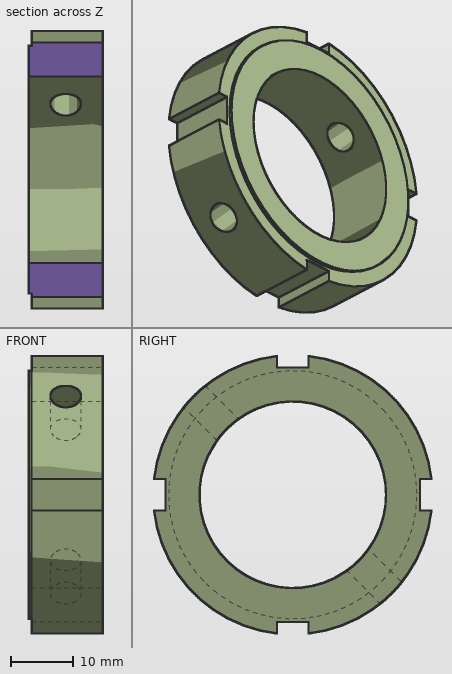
import cadquery as cq
import math

width = 12.0
lip_height = 0.5
lip_diameter = 40.0
bore_diameter = 30.0

span = 44.7
slot_width = 5.0
slot_floor_span = 41.0
slot_count = 4
outer_radius = math.hypot(span / 2, slot_width / 2)
slot_floor = slot_floor_span / 2

hole_diameter = 4.9
hole_x = width / 2
hole_angle = 45.0


def make_ring():
    """Ring body with the thin lip, before slots and holes."""
    body = cq.Workplane("YZ").workplane(offset=lip_height).circle(outer_radius).extrude(width - lip_height)
    lip = cq.Workplane("YZ").circle(lip_diameter / 2).extrude(2 * lip_height)
    bore = cq.Workplane("YZ").circle(bore_diameter / 2).extrude(width)
    return body.union(lip).cut(bore)


def make_slot(angle):
    """Rectangular cutter for one slot, turned about the ring axis."""
    cutter = cq.Workplane("XY").box(width, slot_width, outer_radius, centered=(False, True, False))
    return cutter.translate((0, 0, slot_floor)).rotate((0, 0, 0), (1, 0, 0), angle)


def make_cross_hole():
    """Full-length drill through the ring axis, leaning toward -Y and +Z."""
    drill = cq.Workplane("XY").circle(hole_diameter / 2).extrude(2 * outer_radius, both=True)
    return drill.rotate((0, 0, 0), (1, 0, 0), hole_angle).translate((hole_x, 0, 0))


result = make_ring()
for index in range(slot_count):
    result = result.cut(make_slot(index * 360 / slot_count))
result = result.cut(make_cross_hole())